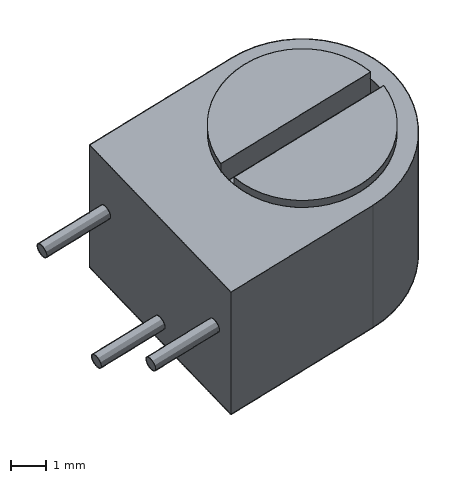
import cadquery as cq

body_width = 6.6
body_height = 5.77
total_length = 10.67
pin_length = 2.28
pin_diameter = 0.46
pin_pitch = 2.54
lower_pin_height = 0.89
dial_diameter = 5.4
dial_height = 0.33
slot_width = 0.61
slot_depth = 1.0

end_radius = body_width / 2
front_y = end_radius - (total_length - pin_length)
upper_pin_height = lower_pin_height + pin_pitch


def make_body():
    """Block with a full-radius rounded end toward +Y."""
    return (
        cq.Workplane("XY")
        .moveTo(-end_radius, front_y)
        .lineTo(end_radius, front_y)
        .lineTo(end_radius, 0)
        .threePointArc((0, end_radius), (-end_radius, 0))
        .close()
        .extrude(body_height)
    )


def make_dial():
    """Raised disc on top of the body."""
    return (
        cq.Workplane("XY")
        .workplane(offset=body_height)
        .circle(dial_diameter / 2)
        .extrude(dial_height)
    )


def make_slot():
    """Screwdriver slot through the disc and into the body, ending at the disc's outline."""
    floor = cq.Workplane("XY").workplane(offset=body_height + dial_height - slot_depth)
    strip = floor.rect(slot_width, dial_diameter).extrude(slot_depth)
    dial_column = floor.circle(dial_diameter / 2).extrude(slot_depth)
    return strip.intersect(dial_column)


def make_pins():
    """Three pins projecting toward -Y, the middle one set lower."""
    pin_centers = [
        (-pin_pitch, upper_pin_height),
        (0, lower_pin_height),
        (pin_pitch, upper_pin_height),
    ]
    return (
        cq.Workplane("XZ", origin=(0, front_y, 0))
        .pushPoints(pin_centers)
        .circle(pin_diameter / 2)
        .extrude(pin_length)
    )


result = make_body().union(make_dial()).cut(make_slot()).union(make_pins())